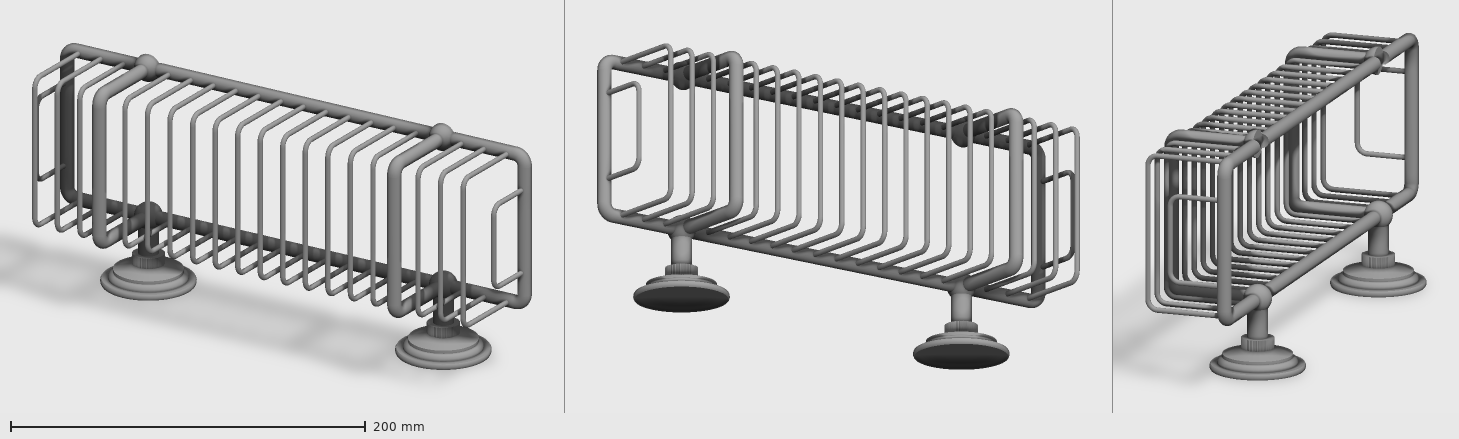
import cadquery as cq
import math


LENGTH = 313.2
TUBE_R = 4.0
BEND_R = 6.0
BEND_INSET = BEND_R * (1 - math.sqrt(0.5))
LOWER_Z = 41.0
UPPER_Z = 131.0
MIDDLE_Z = (LOWER_Z + UPPER_Z) / 2
FRAME_HALF_Z = (UPPER_Z - LOWER_Z) / 2
FRAME_HALF_X = LENGTH / 2 - TUBE_R
POST_X = 98.5
BOW_REACH = 51.7

WIRE_R = 1.5
WIRE_PITCH = 15.0
WIRE_PLACES = 20
POST_PLACES = (3, 16)
WIRE_REACH = 49.5
SIDE_WIRE_REACH = 32.5
SIDE_WIRE_HALF_Z = 25.0

BALL_R = 8.0
STEM_R = 6.0
FLANGE_R = 27.2
FLANGE_H = 3.5
FLANGE_BULGE = 0.5
DOME_R = 23.0
STEP_R = 20.0
DOME_TOP_Z = 7.2
DOME_MIDDLE = (22.2, 5.5)
STEP_TOP_Z = 9.0
COLLAR_Z = 12.2
COLLAR_H = 6.3
COLLAR_R = 9.5
TOOTH_DEPTH = 0.47
TOOTH_COUNT = 60


def back_frame():
    """Closed rectangular tube frame with rounded corners."""
    half_z = FRAME_HALF_Z
    straight_z = half_z - BEND_R
    straight_x = FRAME_HALF_X - BEND_R
    path = (
        cq.Workplane("XZ", origin=(0, 0, MIDDLE_Z))
        .moveTo(0, half_z)
        .lineTo(-straight_x, half_z)
        .threePointArc((BEND_INSET - FRAME_HALF_X, half_z - BEND_INSET), (-FRAME_HALF_X, straight_z))
        .lineTo(-FRAME_HALF_X, -straight_z)
        .threePointArc((BEND_INSET - FRAME_HALF_X, BEND_INSET - half_z), (-straight_x, -half_z))
        .lineTo(0, -half_z)
    )
    left = cq.Workplane("YZ", origin=(0, 0, UPPER_Z)).circle(TUBE_R).sweep(path)
    return left.union(left.mirror("YZ"))


def bow(radius, x, reach, half_z):
    """U-shaped rod in a plane of constant X, both ends on the back frame."""
    path = (
        cq.Workplane("YZ", origin=(x, 0, MIDDLE_Z))
        .moveTo(0, half_z)
        .lineTo(BEND_R - reach, half_z)
        .threePointArc((BEND_INSET - reach, half_z - BEND_INSET), (-reach, half_z - BEND_R))
        .lineTo(-reach, BEND_R - half_z)
        .threePointArc((BEND_INSET - reach, BEND_INSET - half_z), (BEND_R - reach, -half_z))
        .lineTo(0, -half_z)
    )
    return cq.Workplane("XZ", origin=(x, 0, MIDDLE_Z + half_z)).circle(radius).sweep(path)


def ball(x, z):
    return cq.Workplane("XY").sphere(BALL_R).translate((x, 0, z))


def half_ball(x, z, side):
    """Half of a ball, flat at Y = 0, on the +Y (side = 1) or -Y (side = -1) side."""
    size = 2 * BALL_R
    half_space = cq.Workplane("XY").box(size, BALL_R, size).translate((x, side * BALL_R / 2, z))
    return ball(x, z).intersect(half_space)


def collar():
    """Ring with V-shaped knurl teeth."""
    points = []
    for i in range(2 * TOOTH_COUNT):
        radius = COLLAR_R - TOOTH_DEPTH * (i % 2)
        angle = math.pi * i / TOOTH_COUNT
        points.append((radius * math.cos(angle), radius * math.sin(angle)))
    return cq.Workplane("XY", origin=(0, 0, COLLAR_Z)).polyline(points).close().extrude(COLLAR_H)


def foot():
    """Round stepped foot, knurled collar and stem, centred on the Z axis."""
    neck_r = COLLAR_R - TOOTH_DEPTH
    rim_r = FLANGE_R - FLANGE_BULGE
    base = (
        cq.Workplane("XZ")
        .lineTo(rim_r, 0)
        .threePointArc((FLANGE_R, FLANGE_H / 2), (rim_r, FLANGE_H))
        .lineTo(DOME_R, FLANGE_H)
        .threePointArc(DOME_MIDDLE, (STEP_R, DOME_TOP_Z))
        .lineTo(STEP_R, STEP_TOP_Z)
        .lineTo(neck_r, COLLAR_Z)
        .lineTo(0, COLLAR_Z)
        .close()
        .revolve(360, (0, 0, 0), (0, 1, 0))
    )
    stem = cq.Workplane("XY", origin=(0, 0, COLLAR_Z)).circle(STEM_R).extrude(LOWER_Z - COLLAR_Z)
    return base.union(collar()).union(stem)


result = back_frame()

for post_x in (-POST_X, POST_X):
    result = result.union(bow(TUBE_R, post_x, BOW_REACH, FRAME_HALF_Z))
    result = result.union(half_ball(post_x, UPPER_Z, -1))
    result = result.cut(half_ball(post_x, UPPER_Z, 1))
    result = result.union(ball(post_x, LOWER_Z))
    result = result.union(foot().translate((post_x, 0, 0)))

for place in range(WIRE_PLACES):
    if place not in POST_PLACES:
        wire_x = (place - (WIRE_PLACES - 1) / 2) * WIRE_PITCH
        result = result.union(bow(WIRE_R, wire_x, WIRE_REACH, FRAME_HALF_Z))

for end_x in (-FRAME_HALF_X, FRAME_HALF_X):
    result = result.union(bow(WIRE_R, end_x, SIDE_WIRE_REACH, SIDE_WIRE_HALF_Z))